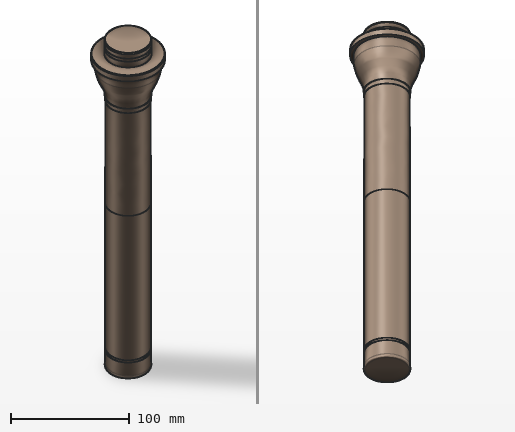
import cadquery as cq

total_height = 342.0
joint_z = 171.0

flange_diameter = 62.5
collar_diameter = 56.0
plug_diameter = 40.0
neck_diameter = 39.5
tube_diameter = 39.0
recess_diameter = 38.5

foot_round = 1.5
foot_flare_top = 3.5
foot_groove_bottom = 17.0
foot_groove_top = 19.5

neck_step_z = 278.7
neck_bottom = 283.5
cone_bottom = 289.3
cone_bottom_diameter = 40.7
cone_bulge_z = 300.3
cone_bulge_diameter = 49.5
collar_lean = 0.2
collar_bottom = 311.5
flange_bottom = 320.8
flange_top = 327.0
flange_chamfer = 0.7
plug_groove_bottom = 333.0
plug_groove_top = 336.2
plug_chamfer_height = 1.5
plug_chamfer_width = 0.7


def revolve_outline(outline):
    """Close an outline back to the Z axis and turn it a full revolution."""
    return outline.close().revolve(360, (0, 0, 0), (0, 1, 0))


def make_lower_tube():
    """Straight tube with a small foot lip and a shallow groove above it."""
    lip_radius = neck_diameter / 2
    tube_radius = tube_diameter / 2
    groove_radius = recess_diameter / 2
    outline = (
        cq.Workplane("XZ")
        .lineTo(lip_radius - foot_round, 0)
        .spline(
            [(lip_radius, foot_round), (tube_radius, foot_flare_top)],
            tangents=[(1, 0), (0, 1)],
            includeCurrent=True,
        )
        .lineTo(tube_radius, foot_groove_bottom)
        .lineTo(groove_radius, foot_groove_bottom)
        .lineTo(groove_radius, foot_groove_top)
        .lineTo(tube_radius, foot_groove_top)
        .lineTo(tube_radius, joint_z)
        .lineTo(0, joint_z)
    )
    return revolve_outline(outline)


def make_upper_head():
    """Handle that flares into a collar and flange, topped by a grooved plug."""
    tube_radius = tube_diameter / 2
    recess_radius = recess_diameter / 2
    neck_radius = neck_diameter / 2
    collar_radius = collar_diameter / 2
    flange_radius = flange_diameter / 2
    plug_radius = plug_diameter / 2
    outline = (
        cq.Workplane("XZ")
        .moveTo(0, joint_z)
        .lineTo(tube_radius, joint_z)
        .lineTo(recess_radius, neck_step_z)
        .lineTo(tube_radius, neck_step_z)
        .lineTo(tube_radius, neck_bottom)
        .lineTo(neck_radius, neck_bottom)
        .spline(
            [(cone_bottom_diameter / 2, cone_bottom), (cone_bulge_diameter / 2, cone_bulge_z),
             (collar_radius, collar_bottom)],
            tangents=[(0, 1), (collar_lean, 1)],
            includeCurrent=True,
        )
        .lineTo(collar_radius, flange_bottom)
        .lineTo(flange_radius, flange_bottom)
        .lineTo(flange_radius, flange_top - flange_chamfer)
        .lineTo(flange_radius - flange_chamfer, flange_top)
        .lineTo(plug_radius, flange_top)
        .lineTo(plug_radius, plug_groove_bottom)
        .lineTo(neck_radius, plug_groove_bottom)
        .lineTo(neck_radius, plug_groove_top)
        .lineTo(plug_radius, plug_groove_top)
        .lineTo(plug_radius, total_height - plug_chamfer_height)
        .lineTo(plug_radius - plug_chamfer_width, total_height)
        .lineTo(0, total_height)
    )
    return revolve_outline(outline)


lower_tube = make_lower_tube()
upper_head = make_upper_head()

result = cq.Compound.makeCompound([lower_tube.val(), upper_head.val()])